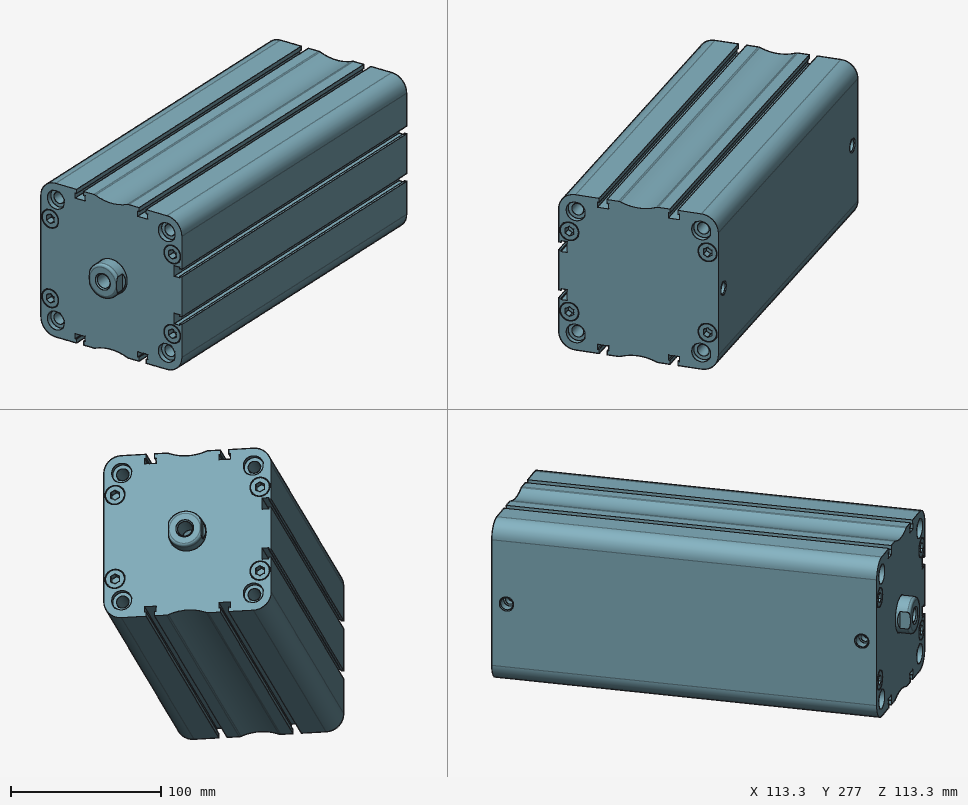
import math

import cadquery as cq


side = 113.3
half_side = side / 2
housing_length = 267.0
corner_radius = 12.0

groove_width = 26.8
groove_depth = 2.7
groove_edge_radius = 3.0

slot_mouth = 5.6
slot_width = 7.8
top_slot_spacing = 50.2
top_slot_depth = 6.7
top_slot_lip = 3.0
side_slot_spacing = 35.0
side_slot_depth = 6.1
side_slot_lip = 1.7

mount_pitch = 89.0
mount_hole_diameter = 8.38
mount_counterbore_diameter = 13.5
mount_counterbore_depth = 4.0

screw_pitch_x = 98.0
screw_pitch_z = 58.6
screw_recess_diameter = 13.5
screw_head_diameter = 12.7
screw_head_height = 8.0
screw_hex_flats = 6.0
screw_hex_depth = 6.0

port_end_distance = 10.3
port_thread_diameter = 8.57
port_thread_depth = 8.0
port_mouth_diameter = 9.98
port_bottom_diameter = 6.0
port_depth = 14.0

rod_diameter = 25.0
rod_bore_diameter = 25.5
rod_bore_depth = 5.0
rod_projection = 10.0
rod_end_radius = 2.0
rod_flats = 22.0
rod_flat_length = 7.1
rod_hole_diameter = 10.11
rod_hole_mouth_diameter = 12.0
rod_hole_depth = 20.0
drill_point_angle = 118.0


def cylinder_along_y(diameter, y_start, length, x=0.0, z=0.0):
    start = cq.Vector(x, y_start, z)
    return cq.Workplane(cq.Solid.makeCylinder(diameter / 2, length, start, cq.Vector(0, 1, 0)))


def cone_along_y(start_diameter, end_diameter, y_start, length):
    start = cq.Vector(0, y_start, 0)
    return cq.Workplane(cq.Solid.makeCone(start_diameter / 2, end_diameter / 2, length, start, cq.Vector(0, 1, 0)))


def along_housing(sketch_plane):
    """Extrude an outline drawn in the XZ plane from the front face to the rear face."""
    return sketch_plane.extrude(-housing_length)


def make_housing():
    housing = along_housing(cq.Workplane("XZ").rect(side, side)).edges("|Y").fillet(corner_radius)
    for direction in (1, -1):
        surface = direction * half_side
        outline = (
            cq.Workplane("XZ")
            .moveTo(-groove_width / 2, surface)
            .threePointArc((0, surface - direction * groove_depth), (groove_width / 2, surface))
            .close()
        )
        housing = housing.cut(along_housing(outline))
    for x in (-groove_width / 2, groove_width / 2):
        for z in (-half_side, half_side):
            edge = housing.edges(cq.selectors.NearestToPointSelector((x, housing_length / 2, z)))
            housing = edge.fillet(groove_edge_radius)
    return housing


def make_slot(offset, depth, lip, turn):
    """T-slot open to the top, then turned about the rod axis by the given angle."""
    mouth = along_housing(cq.Workplane("XZ").center(offset, half_side - depth / 2).rect(slot_mouth, depth))
    cavity_height = depth - lip
    cavity_centre = half_side - lip - cavity_height / 2
    cavity = along_housing(cq.Workplane("XZ").center(offset, cavity_centre).rect(slot_width, cavity_height))
    return mouth.union(cavity).rotate((0, 0, 0), (0, 1, 0), turn)


def cut_slots(body):
    for sign in (-1, 1):
        top_offset = sign * top_slot_spacing / 2
        for turn in (0, 180):
            body = body.cut(make_slot(top_offset, top_slot_depth, top_slot_lip, turn))
        side_offset = sign * side_slot_spacing / 2
        body = body.cut(make_slot(side_offset, side_slot_depth, side_slot_lip, 90))
    return body


def cut_mounting_holes(body):
    rear_counterbore_start = housing_length - mount_counterbore_depth
    for x in (-mount_pitch / 2, mount_pitch / 2):
        for z in (-mount_pitch / 2, mount_pitch / 2):
            body = body.cut(cylinder_along_y(mount_hole_diameter, 0, housing_length, x, z))
            for y in (0, rear_counterbore_start):
                body = body.cut(cylinder_along_y(mount_counterbore_diameter, y, mount_counterbore_depth, x, z))
    return body


def make_screw_recess(x, z):
    """Gap around a screw head together with its hexagon socket, at the front face."""
    recess = cylinder_along_y(screw_recess_diameter, 0, screw_head_height, x, z)
    head = cylinder_along_y(screw_head_diameter, 0, screw_head_height, x, z)
    hex_across_corners = screw_hex_flats / math.cos(math.radians(30))
    socket = (
        cq.Workplane("XZ")
        .center(x, z)
        .transformed(rotate=(0, 0, 90))
        .polygon(6, hex_across_corners)
        .extrude(-screw_hex_depth)
    )
    return recess.cut(head).union(socket)


def cut_screw_recesses(body):
    for x in (-screw_pitch_x / 2, screw_pitch_x / 2):
        for z in (-screw_pitch_z / 2, screw_pitch_z / 2):
            front = make_screw_recess(x, z)
            rear = front.mirror("XZ").translate((0, housing_length, 0))
            body = body.cut(front).cut(rear)
    return body


def cut_ports(body):
    thread_radius = port_thread_diameter / 2
    mouth_radius = port_mouth_diameter / 2
    chamfer = mouth_radius - thread_radius
    inward = cq.Vector(1, 0, 0)
    for y in (port_end_distance, housing_length - port_end_distance):
        mouth = cq.Vector(-half_side, y, 0)
        body = body.cut(cq.Workplane(cq.Solid.makeCylinder(port_bottom_diameter / 2, port_depth, mouth, inward)))
        body = body.cut(cq.Workplane(cq.Solid.makeCylinder(thread_radius, port_thread_depth, mouth, inward)))
        body = body.cut(cq.Workplane(cq.Solid.makeCone(mouth_radius, thread_radius, chamfer, mouth, inward)))
    return body


def cut_rod_flats(rod):
    """Two opposite wrench flats facing -X and +X, with a 45 degree run-out towards the housing."""
    flat = rod_flats / 2
    run_out = rod_diameter / 2 - flat
    flat_end = rod_flat_length - rod_projection
    cutter = (
        cq.Workplane("XY")
        .moveTo(-flat, -rod_projection)
        .lineTo(-flat, flat_end)
        .lineTo(-flat - run_out, flat_end + run_out)
        .lineTo(-flat - run_out, -rod_projection)
        .close()
        .extrude(rod_diameter / 2, both=True)
    )
    return rod.cut(cutter).cut(cutter.mirror("YZ"))


def make_rod():
    """Visible rod end, reaching back to the floor of its bore in the housing."""
    rod = cylinder_along_y(rod_diameter, -rod_projection, rod_projection + rod_bore_depth)
    rod = rod.faces("<Y").edges().fillet(rod_end_radius)
    return cut_rod_flats(rod)


def cut_rod_hole(body):
    """Chamfered blind hole on the rod axis with a conical drill point."""
    hole_end = rod_hole_depth - rod_projection
    mouth_chamfer = (rod_hole_mouth_diameter - rod_hole_diameter) / 2
    point_length = rod_hole_diameter / 2 / math.tan(math.radians(drill_point_angle / 2))
    body = body.cut(cone_along_y(rod_hole_mouth_diameter, rod_hole_diameter, -rod_projection, mouth_chamfer))
    body = body.cut(cylinder_along_y(rod_hole_diameter, -rod_projection, rod_hole_depth))
    return body.cut(cone_along_y(rod_hole_diameter, 0, hole_end, point_length))


housing = make_housing()
housing = cut_slots(housing)
housing = cut_mounting_holes(housing)
housing = cut_screw_recesses(housing)
housing = cut_ports(housing)
housing = housing.cut(cylinder_along_y(rod_bore_diameter, 0, rod_bore_depth))

result = cut_rod_hole(housing.union(make_rod()))